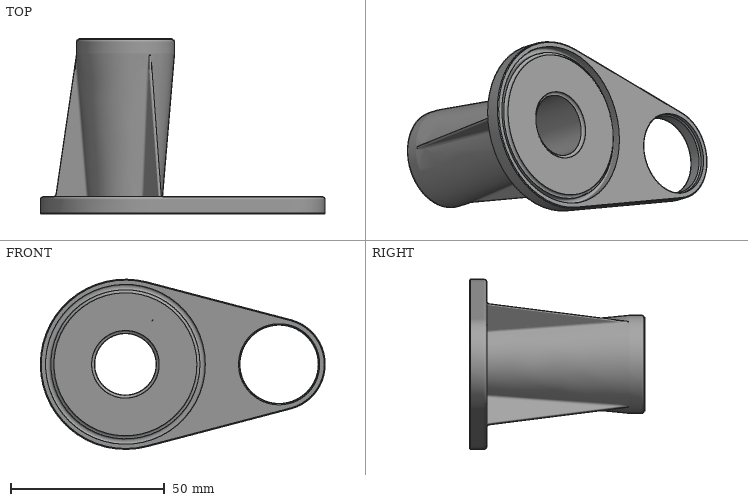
import cadquery as cq
import math

total_length = 57.01

hub_radius = 27.7
eye_radius = 15.0
eye_distance = 50.0
plate_thickness = 5.6
plate_back_fillet = 1.0
plate_front_chamfer = 0.3

eye_hole_radius = 12.75
eye_counterbore_radius = 13.2
eye_counterbore_depth = 1.2
eye_cone_length = 0.5

tube_base_radius = 12.1
collar_radius = 16.0
collar_length = 4.9
collar_end_fillet = 0.8
end_lip_height = 0.3

bore_radius = 10.0
bore_mouth_fillet = 1.0

groove_inner_radius = 24.25
groove_outer_radius = 26.0
groove_depth = 3.0
groove_lip_fillet = 1.0
groove_root_fillet = 0.75

rib_angles = (60, 180, 300)
rib_thickness = 1.0
rib_base_radius = 22.7
rib_tip_radius = 15.9
rib_side_fillet = 0.8
rib_crest_fillet = 0.3
rib_foot_fillet = 1.0

collar_start = total_length - collar_length


def revolve_about_tube_axis(profile):
    """Revolve a closed (radius, Y) profile about the Y axis."""
    return profile.revolve(360, (0, 0, 0), (0, 1, 0))


def make_plate():
    """Teardrop outline: hub and eye arcs joined by their common tangents."""
    tangent_cos = (hub_radius - eye_radius) / eye_distance
    tangent_sin = math.sqrt(1 - tangent_cos**2)
    hub_x, hub_z = hub_radius * tangent_cos, hub_radius * tangent_sin
    eye_x, eye_z = eye_distance + eye_radius * tangent_cos, eye_radius * tangent_sin
    plate = (
        cq.Workplane("XZ")
        .moveTo(hub_x, hub_z)
        .threePointArc((-hub_radius, 0), (hub_x, -hub_z))
        .lineTo(eye_x, -eye_z)
        .threePointArc((eye_distance + eye_radius, 0), (eye_x, eye_z))
        .close()
        .extrude(-plate_thickness)
    )
    plate = plate.faces(">Y").edges().fillet(plate_back_fillet)
    return plate.faces("<Y").edges().chamfer(plate_front_chamfer)


def make_tube():
    """Solid cone and collar, reaching down to the plate front face level."""
    lip_radius = collar_radius - collar_end_fillet
    lip_start = total_length - end_lip_height
    profile = (
        cq.Workplane("XY")
        .lineTo(tube_base_radius, 0)
        .lineTo(tube_base_radius, plate_thickness)
        .lineTo(collar_radius, collar_start)
        .lineTo(collar_radius, lip_start - collar_end_fillet)
        .radiusArc((lip_radius, lip_start), -collar_end_fillet)
        .lineTo(lip_radius, total_length)
        .lineTo(0, total_length)
        .close()
    )
    return revolve_about_tube_axis(profile)


def make_rib(angle):
    """Triangular web whose crest flares into the plate and runs out just below the collar."""
    crest_angle = math.atan2(collar_start - plate_thickness, rib_base_radius - rib_tip_radius)
    foot_run = rib_foot_fillet * math.tan(crest_angle / 2)
    crest_direction = (-math.cos(crest_angle), math.sin(crest_angle))
    foot_top = (
        rib_base_radius + foot_run * crest_direction[0],
        plate_thickness + foot_run * crest_direction[1],
    )
    rib = (
        cq.Workplane("XY")
        .lineTo(rib_base_radius + foot_run, 0)
        .lineTo(rib_base_radius + foot_run, plate_thickness)
        .radiusArc(foot_top, rib_foot_fillet)
        .lineTo(rib_tip_radius, collar_start)
        .lineTo(0, collar_start)
        .close()
        .extrude(rib_thickness / 2, both=True)
    )
    crest_box = cq.selectors.BoxSelector(
        (rib_tip_radius - rib_thickness, plate_thickness + rib_foot_fillet / 2, -rib_thickness),
        (rib_base_radius, collar_start - rib_thickness, rib_thickness),
    )
    rib = rib.edges(crest_box).edges("not |Z").fillet(rib_crest_fillet)
    return rib.rotate((0, 0, 0), (0, 1, 0), angle)


def make_groove():
    root_start = groove_depth - groove_root_fillet
    profile = (
        cq.Workplane("XY")
        .moveTo(groove_inner_radius - groove_lip_fillet, 0)
        .radiusArc((groove_inner_radius, groove_lip_fillet), groove_lip_fillet)
        .lineTo(groove_inner_radius, root_start)
        .radiusArc((groove_inner_radius + groove_root_fillet, groove_depth), groove_root_fillet)
        .lineTo(groove_outer_radius - groove_root_fillet, groove_depth)
        .radiusArc((groove_outer_radius, root_start), groove_root_fillet)
        .lineTo(groove_outer_radius, 0)
        .close()
    )
    return revolve_about_tube_axis(profile)


def make_bore():
    """Through bore with a rounded mouth at the plate front face."""
    profile = (
        cq.Workplane("XY")
        .lineTo(bore_radius + bore_mouth_fillet, 0)
        .radiusArc((bore_radius, bore_mouth_fillet), -bore_mouth_fillet)
        .lineTo(bore_radius, total_length)
        .lineTo(0, total_length)
        .close()
    )
    return revolve_about_tube_axis(profile)


def make_eye_hole():
    """Through hole with a counterbore that narrows to it over a short cone."""
    cone_end = eye_counterbore_depth + eye_cone_length
    profile = (
        cq.Workplane("XY")
        .lineTo(eye_counterbore_radius, 0)
        .lineTo(eye_counterbore_radius, eye_counterbore_depth)
        .lineTo(eye_hole_radius, cone_end)
        .lineTo(eye_hole_radius, plate_thickness)
        .lineTo(0, plate_thickness)
        .close()
    )
    return revolve_about_tube_axis(profile).translate((eye_distance, 0, 0))


def make_ribbed_tube():
    """Tube with its ribs; the joints between rib flanks and cone are filleted."""
    tube = make_tube()
    for angle in rib_angles:
        tube = tube.union(make_rib(angle))
    return tube.edges("%HYPERBOLA").fillet(rib_side_fillet)


result = (
    make_plate()
    .union(make_ribbed_tube())
    .cut(make_groove())
    .cut(make_bore())
    .cut(make_eye_hole())
)